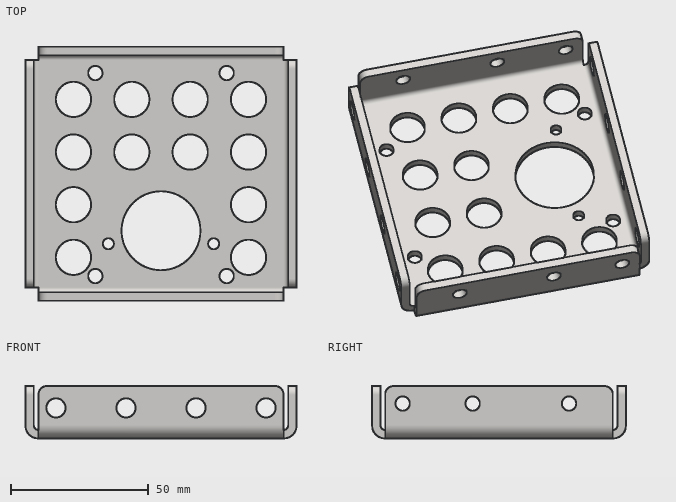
import cadquery as cq

length_x = 98.4
width_y = 92.1
height = 19.1

thickness = 3.15
inner_bend_radius = 1.6
outer_bend_radius = thickness + inner_bend_radius
flange_corner_radius = 3.15

floor_x = length_x - 2 * outer_bend_radius
floor_y = width_y - 2 * outer_bend_radius

grid_diameter = 12.7
grid_pitch_x = 21.2
grid_pitch_y = 19.1
grid_top_y = 27.0
grid_columns = 4
grid_rows = 4
full_rows = 2

opening_diameter = 28.5
opening_y = -20.7
screw_diameter = 3.9
screw_x = 19.1
screw_y = -25.4

mount_diameter = 5.1
mount_x = 23.8
mount_back_y = 36.5
mount_front_y = -37.1

long_flange_hole_diameter = 6.9
long_flange_hole_pitch = 25.4
long_flange_hole_count = 4
long_flange_hole_z = 11.1

short_flange_hole_diameter = 5.1
short_flange_hole_ys = (25.4, -9.5, -34.9)
short_flange_hole_z = 12.7


def make_flange(floor_edge, span):
    """Bent flange rising on the +X side of a floor whose edge is at x = floor_edge."""
    outer_face = floor_edge + outer_bend_radius
    inner_face = outer_face - thickness
    flange = (
        cq.Workplane("XZ")
        .moveTo(floor_edge, 0)
        .radiusArc((outer_face, outer_bend_radius), -outer_bend_radius)
        .lineTo(outer_face, height)
        .lineTo(inner_face, height)
        .lineTo(inner_face, outer_bend_radius)
        .radiusArc((floor_edge, thickness), inner_bend_radius)
        .close()
        .extrude(span / 2, both=True)
    )
    return flange.faces(">Z").edges("|X").fillet(flange_corner_radius)


def make_tray():
    """Flat floor with a flange folded up along each of its four edges."""
    tray = cq.Workplane("XY").box(floor_x, floor_y, thickness, centered=(True, True, False))
    right_flange = make_flange(floor_x / 2, floor_y)
    back_flange = make_flange(floor_y / 2, floor_x).rotate((0, 0, 0), (0, 0, 1), 90)
    for flange in (right_flange, back_flange):
        opposite_flange = flange.rotate((0, 0, 0), (0, 0, 1), 180)
        tray = tray.union(flange).union(opposite_flange)
    return tray


def floor_holes(points, diameter):
    """Vertical cutters through the floor."""
    return cq.Workplane("XY").pushPoints(points).circle(diameter / 2).extrude(thickness)


def grid_points():
    """Hole centres of the grid; the lower rows keep only their outermost holes."""
    points = []
    for row in range(grid_rows):
        for column in range(grid_columns):
            is_outer = column in (0, grid_columns - 1)
            if row < full_rows or is_outer:
                x = (column - (grid_columns - 1) / 2) * grid_pitch_x
                points.append((x, grid_top_y - row * grid_pitch_y))
    return points


def long_flange_holes():
    """Cutters along Y through both the front and back flanges."""
    return (
        cq.Workplane("XZ", origin=(0, 0, long_flange_hole_z))
        .rarray(long_flange_hole_pitch, 1, long_flange_hole_count, 1)
        .circle(long_flange_hole_diameter / 2)
        .extrude(width_y, both=True)
    )


def short_flange_holes():
    """Cutters along X through both the left and right flanges."""
    return (
        cq.Workplane("YZ", origin=(0, 0, short_flange_hole_z))
        .pushPoints([(y, 0) for y in short_flange_hole_ys])
        .circle(short_flange_hole_diameter / 2)
        .extrude(length_x, both=True)
    )


mount_points = [(side * mount_x, y) for side in (-1, 1) for y in (mount_front_y, mount_back_y)]
screw_points = [(side * screw_x, screw_y) for side in (-1, 1)]

result = (
    make_tray()
    .cut(floor_holes(grid_points(), grid_diameter))
    .cut(floor_holes([(0, opening_y)], opening_diameter))
    .cut(floor_holes(screw_points, screw_diameter))
    .cut(floor_holes(mount_points, mount_diameter))
    .cut(long_flange_holes())
    .cut(short_flange_holes())
)